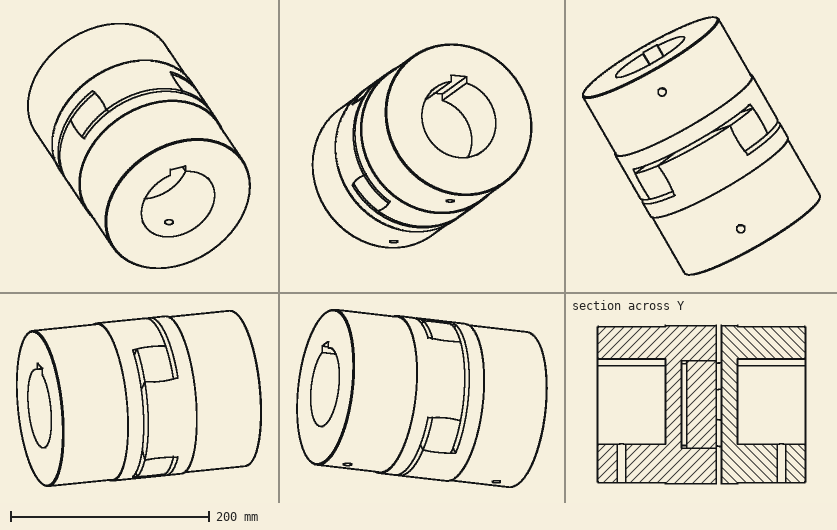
import cadquery as cq
import math

length = 210.0
flange_radius = 80.0
hub_radius = 79.0
end_chamfer = 1.0
flange_outer_x = 36.3
jaw_root_x = 20.0
spider_half_thickness = 15.1

bore_radius = 40.0
keyway_width = 16.5
keyway_top = 45.8
screw_hole_diameter = 8.2
screw_hole_inset = 24.4

core_radius = 43.9
leg_count = 4
leg_width = 40.0
leg_root_width = 35.7

half_length = length / 2
leg_pitch = 360 / leg_count


def cylinder(radius, start_x, end_x):
    return cq.Workplane("YZ").workplane(offset=start_x).circle(radius).extrude(end_x - start_x)


def leg_prisms():
    """Crowned leg shapes midway between the jaws, long enough to reach both jaw roots."""
    reach = 1.2 * flange_radius
    root_y = leg_root_width / 2
    crown_y = leg_width / 2
    prism = (
        cq.Workplane("XY")
        .moveTo(-jaw_root_x, -root_y)
        .threePointArc((0, -crown_y), (jaw_root_x, -root_y))
        .lineTo(jaw_root_x, root_y)
        .threePointArc((0, crown_y), (-jaw_root_x, root_y))
        .close()
        .extrude(reach)
    )
    prisms = cq.Workplane()
    for index in range(leg_count):
        angle = (index + 0.5) * leg_pitch
        prisms = prisms.add(prism.rotate((0, 0, 0), (1, 0, 0), angle))
    return prisms.combine()


def jaw_pair(prisms, axis_angle):
    """Two opposite jaws on a left hub, centred on the direction axis_angle from +Y."""
    jaws = cylinder(flange_radius, -jaw_root_x, spider_half_thickness)
    jaws = jaws.cut(cylinder(core_radius, -jaw_root_x, spider_half_thickness)).cut(prisms)
    middle = cq.Vector(0, math.cos(math.radians(axis_angle)), math.sin(math.radians(axis_angle)))
    solids = [jaw for jaw in jaws.solids().vals() if abs(jaw.Center().dot(middle)) > core_radius / 2]
    return cq.Workplane().newObject(solids)


def make_left_hub(prisms, jaw_axis_angle):
    hub = cylinder(hub_radius, -half_length, -flange_outer_x).faces("<X").chamfer(end_chamfer)
    hub = hub.union(cylinder(flange_radius, -flange_outer_x, -jaw_root_x))
    for jaw in jaw_pair(prisms, jaw_axis_angle).vals():
        hub = hub.union(cq.Workplane(jaw))

    hub = hub.cut(cylinder(bore_radius, -half_length, -flange_outer_x))
    keyway = cq.Workplane("XY").box(
        half_length - flange_outer_x, keyway_width, keyway_top, centered=(False, True, False)
    )
    hub = hub.cut(keyway.translate((-half_length, 0, 0)))

    screw_hole = cq.Workplane("XY").center(-half_length + screw_hole_inset, 0)
    return hub.cut(screw_hole.circle(screw_hole_diameter / 2).extrude(-flange_radius))


def make_spider(prisms):
    legs = cylinder(flange_radius, -spider_half_thickness, spider_half_thickness).intersect(prisms)
    return legs.union(cylinder(core_radius, -spider_half_thickness, spider_half_thickness))


prisms = leg_prisms()
left_hub = make_left_hub(prisms, 90)
right_hub = make_left_hub(prisms, 0).mirror("YZ")
spider = make_spider(prisms)

result = cq.Compound.makeCompound([left_hub.val(), right_hub.val(), spider.val()])